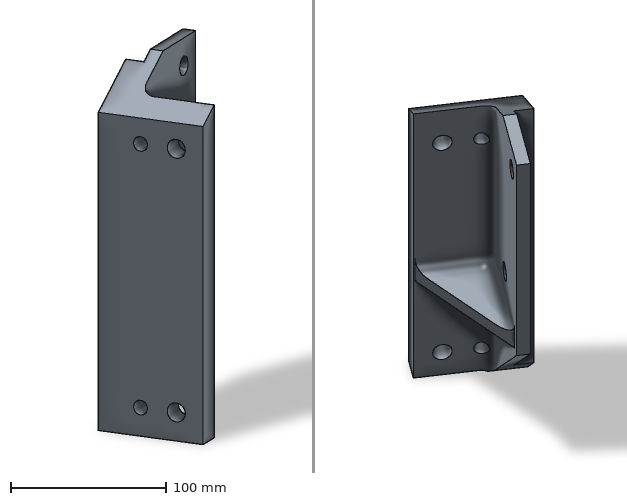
import cadquery as cq
import math

width = 74.5
depth = 101.7
height = 244.5

plate_thickness = 17.0
web_thickness = 9.0
web_inner_x = 22.0
web_outer_x = web_inner_x - web_thickness
block_depth = 42.0
fillet_radius = 9.8

top_flat_start = 51.8
top_slope = 30.0
front_height = height - top_flat_start * math.tan(math.radians(top_slope))
foot_depth = 19.0
web_bottom = depth - foot_depth

shelf_thickness = 9.0
shelf_bottom = web_bottom
shelf_top = shelf_bottom + shelf_thickness
shelf_end_x = 73.5
shelf_end_y = 93.9

large_diameter = 12.7
small_diameter = 9.8
plate_large_x = 55.5
plate_small_x = 30.0
plate_hole_heights = (19.3, 197.0)
web_hole_centres = ((83.5, 225.6), (58.2, 117.3))


def make_angle():
    """Extruded L section trimmed to the sloping side outline."""
    section = (
        cq.Workplane("XY")
        .polyline([
            (0, 0),
            (width, 0),
            (width, plate_thickness),
            (web_inner_x, plate_thickness),
            (web_inner_x, depth),
            (web_outer_x, depth),
            (web_outer_x, block_depth),
            (0, block_depth),
        ])
        .close()
        .extrude(height)
    )
    side_outline = (
        cq.Workplane("YZ")
        .polyline([
            (0, 0),
            (foot_depth, 0),
            (depth, web_bottom),
            (depth, height),
            (top_flat_start, height),
            (0, front_height),
        ])
        .close()
        .extrude(width)
    )
    return section.intersect(side_outline)


def make_shelf():
    """Triangular shelf, reaching into the plate and the web at the corner."""
    return (
        cq.Workplane("XY", origin=(0, 0, shelf_bottom))
        .polyline([
            (web_outer_x, plate_thickness / 2),
            (shelf_end_x, plate_thickness / 2),
            (shelf_end_x, plate_thickness),
            (web_inner_x, shelf_end_y),
            (web_outer_x, shelf_end_y),
        ])
        .close()
        .extrude(shelf_thickness)
    )


def fillet_inner_corner(body):
    """Round the upright corner above and below the shelf and the shelf's upper edges."""
    reach = 0.2
    corner_region = cq.selectors.BoxSelector(
        (web_inner_x - reach, plate_thickness - reach, -reach),
        (web_inner_x + reach, plate_thickness + reach, height),
    )
    shelf_region = cq.selectors.BoxSelector(
        (web_inner_x - reach, plate_thickness - reach, shelf_top - reach),
        (width, depth, shelf_top + reach),
    )
    upright_edges = body.edges("|Z").edges(corner_region)
    shelf_edges = body.edges("|X or |Y").edges(shelf_region)
    return body.newObject(upright_edges.vals() + shelf_edges.vals()).fillet(fillet_radius)


def plate_holes(x, diameter):
    """Cutters through the face plate at both hole heights."""
    return (
        cq.Workplane("XZ")
        .pushPoints([(x, z) for z in plate_hole_heights])
        .circle(diameter / 2)
        .extrude(-depth)
    )


def web_holes():
    """Cutters through the web."""
    return (
        cq.Workplane("YZ")
        .pushPoints(web_hole_centres)
        .circle(large_diameter / 2)
        .extrude(width)
    )


result = fillet_inner_corner(make_angle().union(make_shelf()))
result = result.cut(plate_holes(plate_large_x, large_diameter))
result = result.cut(plate_holes(plate_small_x, small_diameter))
result = result.cut(web_holes())